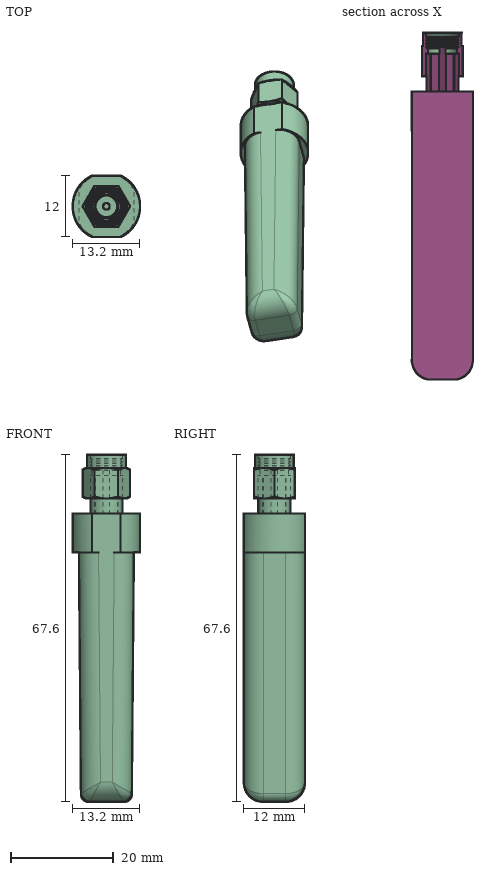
import cadquery as cq
import math

TOP_Z = 67.55
COLLAR_BOTTOM_Z = 48.6
COLLAR_TOP_Z = 56.15
HEX_BOTTOM_Z = 59.05
HEX_TOP_Z = 65.0
SOCKET_FLOOR_Z = TOP_Z - 4.05

COLLAR_DIAMETER = 13.2
BODY_DEPTH = 11.95
HANDLE_TOP_WIDTH = 10.75
HANDLE_TIP_WIDTH = 9.9
HANDLE_CORNER_RADIUS = 3.85
TIP_EDGE_RADIUS = 1.6

SLEEVE_DIAMETER = 7.65
HEX_ACROSS_FLATS = 8.0
HEX_CORNER_CHAMFER_ANGLE = 30.0
MOUTH_DIAMETER = 7.0
MOUTH_CHAMFER_DEPTH = 0.2
THREAD_MAJOR_DIAMETER = 6.3
THREAD_MINOR_DIAMETER = 5.55
THREAD_PITCH = 0.7
THREAD_RIDGES = 3
THREAD_START_Z = TOP_Z - 0.75

BARREL_DIAMETER = 6.3
FERRULE_DIAMETER = 4.6
INSULATOR_DIAMETER = 4.25
PIN_DIAMETER = 1.3
PIN_PROTRUSION = 1.35


def cylinder(diameter, bottom_z, top_z):
    """Solid cylinder on the Z axis."""
    return cq.Workplane("XY").workplane(offset=bottom_z).circle(diameter / 2).extrude(top_z - bottom_z)


def tube(outer_diameter, inner_diameter, bottom_z, top_z):
    """Hollow cylinder on the Z axis."""
    return cylinder(outer_diameter, bottom_z, top_z).cut(cylinder(inner_diameter, bottom_z, top_z))


def make_handle():
    """Handle narrowing in X towards a rounded tip."""
    tapered_block = (
        cq.Workplane("XZ")
        .polyline([
            (-HANDLE_TIP_WIDTH / 2, 0),
            (HANDLE_TIP_WIDTH / 2, 0),
            (HANDLE_TOP_WIDTH / 2, COLLAR_BOTTOM_Z),
            (-HANDLE_TOP_WIDTH / 2, COLLAR_BOTTOM_Z),
        ])
        .close()
        .extrude(BODY_DEPTH / 2, both=True)
        .edges("not(#Z or |Y)")
        .fillet(HANDLE_CORNER_RADIUS)
    )
    rounded_tip = (
        cq.Workplane("XY")
        .box(COLLAR_DIAMETER, BODY_DEPTH, COLLAR_BOTTOM_Z, centered=(True, True, False))
        .edges("|X and <Z")
        .fillet(HANDLE_CORNER_RADIUS)
    )
    handle = tapered_block.intersect(rounded_tip)
    tip_zone = cq.selectors.BoxSelector(
        (-COLLAR_DIAMETER, -BODY_DEPTH, -TIP_EDGE_RADIUS),
        (COLLAR_DIAMETER, BODY_DEPTH, HANDLE_CORNER_RADIUS / 2),
    )
    return handle.edges(tip_zone).edges("not(|X)").fillet(TIP_EDGE_RADIUS)


def make_housing():
    """Collar with two flats, in one piece with the handle."""
    collar_height = COLLAR_TOP_Z - COLLAR_BOTTOM_Z
    flats = (
        cq.Workplane("XY")
        .workplane(offset=COLLAR_BOTTOM_Z)
        .rect(COLLAR_DIAMETER, BODY_DEPTH)
        .extrude(collar_height)
    )
    collar = cylinder(COLLAR_DIAMETER, COLLAR_BOTTOM_Z, COLLAR_TOP_Z).intersect(flats)
    return collar.union(make_handle()).clean()


def make_hexagon():
    """Hexagon with its corners chamfered conically at both ends."""
    across_corners = HEX_ACROSS_FLATS / math.cos(math.pi / 6)
    height = HEX_TOP_Z - HEX_BOTTOM_Z
    chamfer_width = (across_corners - HEX_ACROSS_FLATS) / 2
    chamfer_height = chamfer_width * math.tan(math.radians(HEX_CORNER_CHAMFER_ANGLE))
    prism = cq.Workplane("XY").workplane(offset=HEX_BOTTOM_Z).polygon(6, across_corners).extrude(height)
    chamfered_disc = (
        cylinder(across_corners, HEX_BOTTOM_Z, HEX_TOP_Z)
        .faces("<Z or >Z")
        .edges()
        .chamfer(chamfer_height, chamfer_width)
    )
    return prism.intersect(chamfered_disc)


def make_nut_bore():
    """Revolved bore: chamfered mouth, annular thread ridges and a seat for the barrel."""
    major = THREAD_MAJOR_DIAMETER / 2
    minor = THREAD_MINOR_DIAMETER / 2
    points = [
        (0, TOP_Z),
        (MOUTH_DIAMETER / 2, TOP_Z),
        (major, TOP_Z - MOUTH_CHAMFER_DEPTH),
        (major, THREAD_START_Z),
    ]
    for ridge in range(THREAD_RIDGES):
        ridge_top_z = THREAD_START_Z - ridge * THREAD_PITCH
        points.append((minor, ridge_top_z - THREAD_PITCH / 2))
        points.append((major, ridge_top_z - THREAD_PITCH))
    thread_end_z = THREAD_START_Z - THREAD_RIDGES * THREAD_PITCH
    points += [
        (minor, thread_end_z - THREAD_PITCH / 2),
        (minor, SOCKET_FLOOR_Z),
        (0, SOCKET_FLOOR_Z),
    ]
    threaded_bore = cq.Workplane("XZ").polyline(points).close().revolve(360, (0, 0, 0), (0, 1, 0))
    return threaded_bore.union(cylinder(BARREL_DIAMETER, HEX_BOTTOM_Z, SOCKET_FLOOR_Z))


def make_nut():
    """Hexagonal coupling nut with a round sleeve."""
    sleeve = cylinder(SLEEVE_DIAMETER, HEX_BOTTOM_Z, TOP_Z)
    return make_hexagon().union(sleeve).cut(make_nut_bore())


housing = make_housing()
nut = make_nut()
barrel = tube(BARREL_DIAMETER, FERRULE_DIAMETER, COLLAR_TOP_Z, SOCKET_FLOOR_Z)
ferrule = tube(FERRULE_DIAMETER, INSULATOR_DIAMETER, COLLAR_TOP_Z, SOCKET_FLOOR_Z)
insulator = tube(INSULATOR_DIAMETER, PIN_DIAMETER, COLLAR_TOP_Z, SOCKET_FLOOR_Z)
pin = cylinder(PIN_DIAMETER, COLLAR_TOP_Z, SOCKET_FLOOR_Z + PIN_PROTRUSION)

result = cq.Compound.makeCompound([
    housing.val(),
    nut.val(),
    barrel.val(),
    ferrule.val(),
    insulator.val(),
    pin.val(),
])